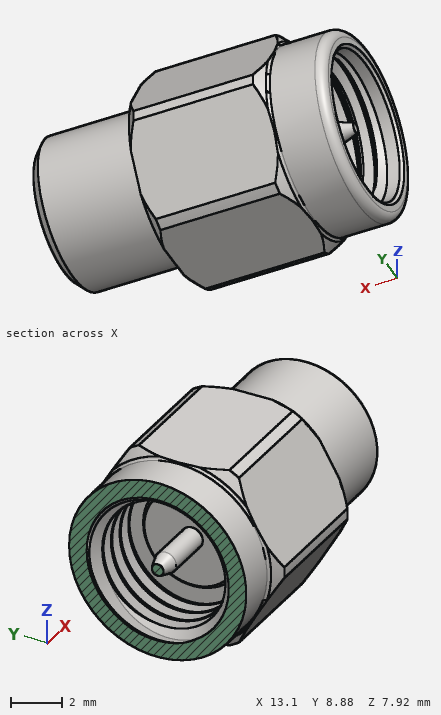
import cadquery as cq
import math

total_length = 13.13

collar_radius = 3.94
collar_end = 2.34
rim_round = 0.4

across_flats = 7.92
hex_end = 8.38
hex_corner_radius = 4.44
hex_chamfer = 0.38
hex_face_radius = hex_corner_radius - hex_chamfer
neck_radius = hex_face_radius - collar_radius
hex_start = collar_end + neck_radius

barrel_radius = 3.19
barrel_overlap = 0.4
barrel_end = 13.1
barrel_chamfer = 0.38
end_disc_radius = 2.55

counterbore_radius = 3.14
mouth_chamfer = 0.13
mouth_radius = counterbore_radius + mouth_chamfer
counterbore_depth = 0.67
thread_crest_radius = 2.72
lead_in_end = counterbore_depth + counterbore_radius - thread_crest_radius
bore_depth = 3.61

thread_pitch = 0.71
thread_root_radius = 3.18
groove_width = 0.63
root_width = 0.08
thread_overlap = 0.03

insulator_radius = 2.25
insulator_chamfer = 0.13
insulator_front = bore_depth - insulator_chamfer
pin_radius = 0.47
pin_tip_radius = 0.22
pin_tip = 0.53
pin_taper_end = 1.31


def revolve_about_x(points):
    """Turn a closed (x, radius) outline about the X axis."""
    return cq.Workplane("XY").polyline(points).close().revolve(360, (0, 0, 0), (1, 0, 0))


def cylinder_along_x(start, end, radius):
    return cq.Workplane("YZ", origin=(start, 0, 0)).circle(radius).extrude(end - start)


def make_collar():
    collar = cylinder_along_x(0, hex_end, collar_radius)
    return collar.faces("<X").edges().fillet(rim_round)


def hex_prism(start, end):
    across_corners = across_flats / math.cos(math.pi / 6)
    return cq.Workplane("YZ", origin=(start, 0, 0)).polygon(6, across_corners).extrude(end - start)


def make_hex_nut():
    turned_blank = (
        cylinder_along_x(hex_start, hex_end, hex_corner_radius)
        .faces("<X or >X")
        .chamfer(hex_chamfer)
    )
    return hex_prism(hex_start, hex_end).intersect(turned_blank)


def make_neck():
    """Concave round that leads from the collar up to the front face of the nut."""
    middle = neck_radius * math.sqrt(0.5)
    flare = (
        cq.Workplane("XY")
        .moveTo(collar_end, 0)
        .lineTo(collar_end, collar_radius)
        .threePointArc(
            (collar_end + middle, hex_face_radius - middle),
            (hex_start, hex_face_radius),
        )
        .lineTo(hex_start, 0)
        .close()
        .revolve(360, (0, 0, 0), (1, 0, 0))
    )
    return flare.intersect(hex_prism(collar_end, hex_start))


def make_barrel():
    barrel = cylinder_along_x(hex_end - barrel_overlap, barrel_end, barrel_radius)
    barrel = barrel.faces(">X").chamfer(barrel_chamfer)
    return barrel.union(cylinder_along_x(hex_end, total_length, end_disc_radius))


def make_bore():
    return revolve_about_x([
        (0, 0),
        (0, mouth_radius),
        (mouth_chamfer, counterbore_radius),
        (counterbore_depth, counterbore_radius),
        (lead_in_end, thread_crest_radius),
        (bore_depth, thread_crest_radius),
        (bore_depth, 0),
    ])


def make_thread_groove():
    """Helical V groove, built up Z and then laid along X."""
    helix_start = counterbore_depth - thread_pitch
    helix_height = bore_depth + thread_pitch - helix_start
    inner_radius = thread_crest_radius - thread_overlap
    path = cq.Wire.makeHelix(thread_pitch, helix_height, thread_crest_radius)
    groove = (
        cq.Workplane("XZ")
        .polyline([
            (inner_radius, -groove_width / 2),
            (inner_radius, groove_width / 2),
            (thread_root_radius, root_width / 2),
            (thread_root_radius, -root_width / 2),
        ])
        .close()
        .sweep(cq.Workplane(obj=path), isFrenet=True)
        .rotate((0, 0, 0), (0, 1, 0), 90)
        .translate((helix_start, 0, 0))
    )
    threaded_length = cylinder_along_x(counterbore_depth, bore_depth, mouth_radius)
    return groove.intersect(threaded_length)


def make_insulator():
    insulator = cylinder_along_x(insulator_front, hex_end, insulator_radius)
    return insulator.faces("<X").chamfer(insulator_chamfer)


def make_pin():
    return revolve_about_x([
        (pin_tip, 0),
        (pin_tip, pin_tip_radius),
        (pin_taper_end, pin_radius),
        (hex_end, pin_radius),
        (hex_end, 0),
    ])


shell = make_collar().union(make_neck()).union(make_hex_nut()).union(make_barrel())
shell = shell.cut(make_bore()).cut(make_thread_groove())
result = shell.union(make_insulator()).union(make_pin())